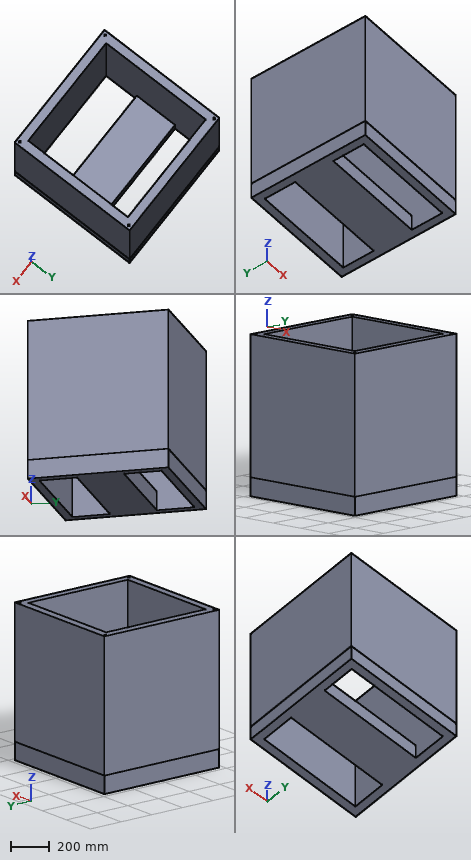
import cadquery as cq

height = 850.0
side = 750.0
wall = 50.0
opening = side - 2 * wall

foot_height = 100.0
recess_depth = 1.0
post_width = 2.0

bar_width = 250.0
bar_height = foot_height

hole_diameter = 10.0
hole_inset = 19.5
hole_depth = wall


def make_walls():
    return cq.Workplane("XY").rect(side, side).rect(opening, opening).extrude(height)


def make_bar():
    bar_length = opening + wall
    return cq.Workplane("XY").rect(bar_length, bar_width).extrude(bar_height)


def make_foot_recess(angle):
    recess_length = side - 2 * post_width
    recess = cq.Workplane("XY").box(recess_length, recess_depth, foot_height, centered=(True, False, False))
    return recess.translate((0, -side / 2, 0)).rotate((0, 0, 0), (0, 0, 1), angle)


def make_rim_holes():
    spacing = side - 2 * hole_inset
    centres = cq.Workplane("XY", origin=(0, 0, height)).rect(spacing, spacing, forConstruction=True)
    return centres.vertices().circle(hole_diameter / 2).extrude(-hole_depth)


result = make_walls().union(make_bar()).cut(make_rim_holes())
for face_angle in (0, 90, 180, 270):
    result = result.cut(make_foot_recess(face_angle))